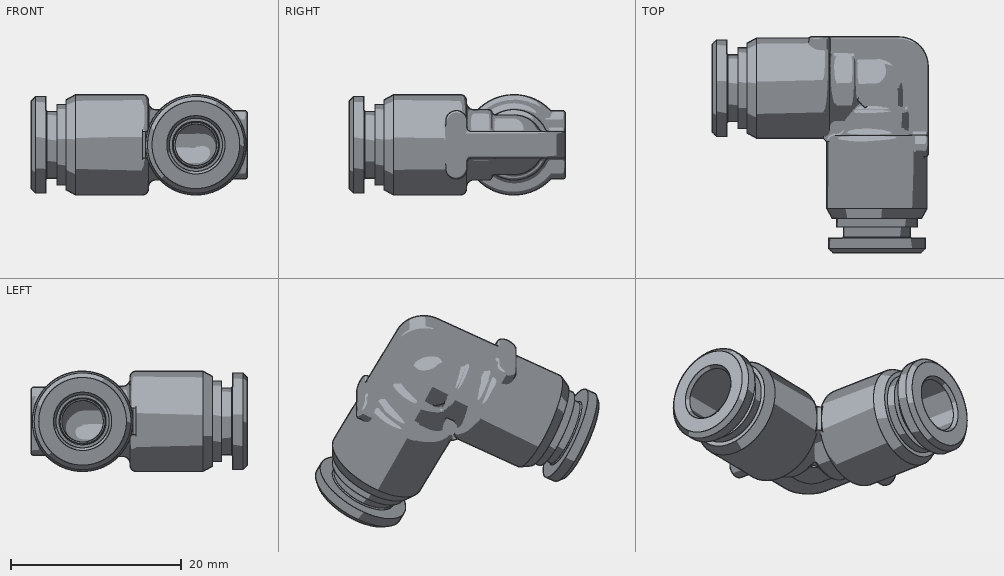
import cadquery as cq
import math


overall_length = 25.35
outer_wall = 6.03
arm_length = overall_length - outer_wall

ring_radius = 5.68
ring_chamfer = 0.53
ring_thickness = 1.72
ring_neck_radius = 3.93
ring_neck_flare = 0.15
collar_start = 3.02
collar_radius = 4.75

body_start = 4.05
body_radius = 5.895
body_nose_length = 1.17
body_nose_drop = 0.63
body_end = 13.77
body_end_round = 0.74

neck_radius = 4.13
neck_root_round = 0.84
neck_end = 16.35
elbow_radius = 3.5
elbow_start = 17.2
step_split = 0.45
elbow_crotch_x = 2.4
elbow_crotch_y = 1.3

web_half_thickness = 1.57
web_corner_radius = 3.47
web_crotch_bevel = 0.38
edge_round = 0.3
crease_round = 0.48
front_crease_round = 0.2
neck_crease_round = 0.25

pin_width = 2.48
pin_half_height = 4.0
pin_overhang = 0.05

mouth_radius = 3.42
mouth_depth = 0.45
tube_radius = 3.12
seat_radius = 2.76
seat_throat_radius = 2.64
seat_length = 0.84
bore_radius = 2.43

TOLERANCE = 0.003


def swap_xy(shape):
    """Turn the arm along X into the arm along Y."""
    return shape.rotate((0, 0, 0), (1, 1, 0), 180)


def both_arms(shape):
    return shape.union(swap_xy(shape))


def at(station, radius):
    """Profile point of the X arm: distance in from the open end, and radius."""
    return (station - arm_length, radius)


def revolve_about_x(profile):
    return profile.close().revolve(360, (0, 0, 0), (1, 0, 0))


def arm_outside():
    arc_inset = 1 - math.sqrt(0.5)
    shoulder_inset = body_end_round * arc_inset
    shoulder_middle = at(body_end - shoulder_inset, body_radius - shoulder_inset)
    root_inset = neck_root_round * arc_inset
    root_middle = at(body_end + root_inset, neck_radius + root_inset)
    step_joint = at(neck_end + step_split * (elbow_start - neck_end),
                    neck_radius + step_split * (elbow_radius - neck_radius))

    profile = (
        cq.Workplane("XY")
        .moveTo(*at(0, 0))
        .lineTo(*at(0, ring_radius - ring_chamfer))
        .lineTo(*at(ring_chamfer, ring_radius))
        .lineTo(*at(ring_thickness, ring_radius))
        .lineTo(*at(ring_thickness, ring_neck_radius + ring_neck_flare))
        .lineTo(*at(ring_thickness + ring_neck_flare, ring_neck_radius))
        .lineTo(*at(collar_start, ring_neck_radius))
        .lineTo(*at(collar_start, collar_radius))
        .lineTo(*at(body_start, collar_radius))
        .lineTo(*at(body_start, body_radius - body_nose_drop))
        .lineTo(*at(body_start + body_nose_length, body_radius))
        .lineTo(*at(body_end - body_end_round, body_radius))
        .threePointArc(shoulder_middle, at(body_end, body_radius - body_end_round))
        .lineTo(*at(body_end, neck_radius + neck_root_round))
        .threePointArc(root_middle, at(body_end + neck_root_round, neck_radius))
        .lineTo(*at(neck_end, neck_radius))
        .tangentArcPoint(step_joint, relative=False)
        .tangentArcPoint(at(elbow_start, elbow_radius), relative=False)
        .lineTo(0, elbow_radius)
        .lineTo(0, 0)
    )
    return revolve_about_x(profile)


def web():
    inner = body_radius
    inner_bevel = inner + web_crotch_bevel
    plate = (
        cq.Workplane("XY")
        .workplane(offset=-web_half_thickness)
        .moveTo(-inner_bevel, -inner)
        .lineTo(-inner, -inner_bevel)
        .lineTo(outer_wall, -inner_bevel)
        .lineTo(outer_wall, outer_wall)
        .lineTo(-inner_bevel, outer_wall)
        .close()
        .extrude(2 * web_half_thickness)
    )
    plate = plate.edges("|Z and >(1,1,0)").fillet(web_corner_radius)
    return plate.faces(">X or >Y").edges("#Z").edges(">Z or <Z").fillet(edge_round)


def pin():
    pin_center = body_end + pin_overhang - pin_width / 2 - arm_length
    blank = (
        cq.Workplane("XZ", origin=(pin_center, outer_wall, 0))
        .slot2D(2 * pin_half_height, pin_width, 90)
        .extrude(outer_wall - bore_radius)
    )
    return blank.faces(">Y").edges().fillet(edge_round)


def bore():
    profile = (
        cq.Workplane("XY")
        .moveTo(*at(0, 0))
        .lineTo(*at(0, mouth_radius))
        .lineTo(*at(mouth_depth, tube_radius))
        .lineTo(*at(body_end, tube_radius))
        .lineTo(*at(body_end, seat_radius))
        .lineTo(*at(body_end + seat_length, seat_throat_radius))
        .lineTo(*at(body_end + seat_length, bore_radius))
        .lineTo(0, bore_radius)
        .lineTo(0, 0)
    )
    return revolve_about_x(profile)


def crotch_blend():
    """Softens the inner corner of the elbow: an elliptic cylinder laid across the diagonal.

    It breaks out of the pipes along two lines that fan out from the crown of the elbow.
    """
    fan_slope = math.sqrt(2) * elbow_crotch_y / (elbow_crotch_x + elbow_crotch_y)
    reach = elbow_crotch_x + elbow_crotch_y
    footprint = (
        cq.Workplane("XY")
        .workplane(offset=-elbow_radius)
        .polyline([(0, 0), (-reach, 0), (0, -reach)])
        .close()
        .extrude(2 * elbow_radius)
    )
    saddle = (
        cq.Workplane("XZ")
        .workplane(offset=-reach)
        .ellipse(elbow_radius / fan_slope, elbow_radius)
        .extrude(2 * reach)
        .rotate((0, 0, 0), (0, 0, 1), 45)
    )
    return footprint.intersect(saddle)


def points_on(edge):
    return [edge.positionAt(t) for t in (0.1, 0.5, 0.9)]


def is_neck_crease(edge):
    """Edge where the two necks meet, on the diagonal plane of the elbow."""
    inner_limit = elbow_start - arm_length
    return all(abs(p.x - p.y) < TOLERANCE and p.x < inner_limit for p in points_on(edge))


def is_web_crease(edge):
    """Edge on a flat face of the web where it meets the arms or the pins."""
    on_face = all(abs(abs(p.z) - web_half_thickness) < TOLERANCE for p in points_on(edge))
    middle = edge.positionAt(0.5)
    return on_face and max(middle.x, middle.y) < outer_wall - edge_round - TOLERANCE


def lies_past_bodies(edge):
    middle = edge.positionAt(0.5)
    return min(middle.x, middle.y) > body_end - arm_length


def is_back_crease(edge):
    """Web crease on the outer side of the elbow."""
    middle = edge.positionAt(0.5)
    return is_web_crease(edge) and lies_past_bodies(edge) and max(middle.x, middle.y) > 0


def is_front_crease(edge):
    """Web crease in the inner corner between the arms."""
    middle = edge.positionAt(0.5)
    return is_web_crease(edge) and lies_past_bodies(edge) and max(middle.x, middle.y) < 0


def is_pin_root(edge):
    """Edge where a pin grows out of the round side of a body."""
    on_body = all(
        abs(math.hypot(max(p.x, p.y), p.z) - body_radius) < TOLERANCE for p in points_on(edge)
    )
    middle = edge.positionAt(0.5)
    station = min(middle.x, middle.y) + arm_length
    beside_pin = body_end - pin_width - TOLERANCE < station < body_end
    return on_body and beside_pin and max(middle.x, middle.y) > 0


def round_edges(part, chosen, radius):
    edges = [edge for edge in part.edges().vals() if chosen(edge)]
    return part.newObject(edges).fillet(radius)


arms = both_arms(arm_outside()).union(cq.Workplane("XY").sphere(elbow_radius))
arms = round_edges(arms, is_neck_crease, neck_crease_round)

outside = arms.union(web()).union(both_arms(pin()))
outside = round_edges(outside, is_back_crease, crease_round)
outside = round_edges(outside, is_pin_root, edge_round)
outside = round_edges(outside, is_front_crease, front_crease_round)
outside = outside.union(crotch_blend())

passage = both_arms(bore()).union(cq.Workplane("XY").sphere(bore_radius))
result = outside.cut(passage)